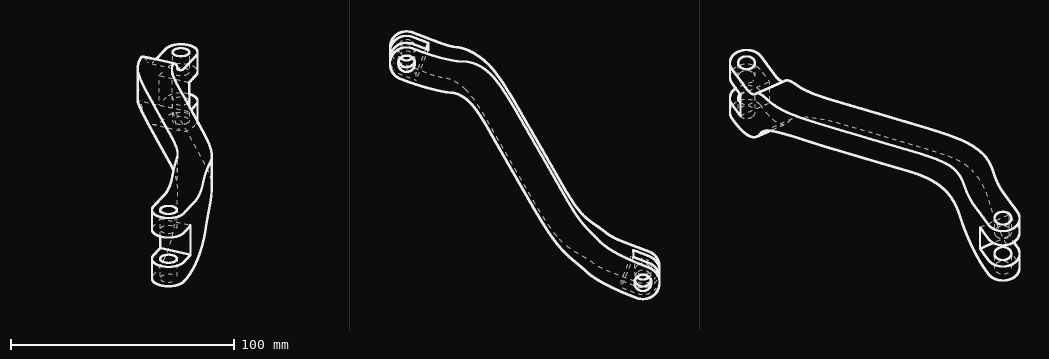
import math

import cadquery as cq

WIDTH_X = 70.0
LENGTH_Y = 150.0
ARM_WIDTH = 15.0
HOLE_DIAMETER = 7.5

TOP_Z = 45.0
EAR_TOP_Z = 35.0
BRIDGE_BOTTOM_Z = 30.0

SLOT_HEIGHT = 15.0
SLOT_DEPTH = 15.0

STRAIGHT_END_Y = 55.0
UPPER_BEND_RADIUS = 10.0
LOWER_BEND_RADIUS = 25.0
BRIDGE_FLAT_HALF_LENGTH = 20.0

FLANK_JOINT = (-4.5, -6.35)
FLANK_JOINT_ANGLE = 50.8
OUTER_BEND_HANDLE = 26.6
OUTER_JOINT_HANDLE = 46.7
INNER_JOINT_HANDLE = 34.8
INNER_BEND_HANDLE = 22.0

HALF_WIDTH = WIDTH_X / 2
END_RADIUS = ARM_WIDTH / 2
EAR_X = HALF_WIDTH - END_RADIUS
HOLE_Y = LENGTH_Y / 2 - END_RADIUS
INNER_X = HALF_WIDTH - ARM_WIDTH
SLOT_BOTTOM_Z = (EAR_TOP_Z - SLOT_HEIGHT) / 2


def bend_angle(rise, radius):
    """Angle turned by each of the two equal arcs of an S-bend."""
    return math.acos(1 - rise / (2 * radius))


def bend_length(rise, radius):
    """Run along Y of an S-bend made of two equal arcs."""
    return 2 * radius * math.sin(bend_angle(rise, radius))


def add_s_bend(sketch, start, end, radius):
    """Draw two equal tangent arcs, level at both ends, from start to end."""
    run = end[0] - start[0]
    rise = end[1] - start[1]
    half_angle = bend_angle(abs(rise), radius) / 2
    arc_run = math.copysign(radius * math.sin(half_angle), run)
    arc_rise = math.copysign(radius * (1 - math.cos(half_angle)), rise)
    middle = (start[0] + run / 2, start[1] + rise / 2)
    first_arc_point = (start[0] + arc_run, start[1] + arc_rise)
    second_arc_point = (end[0] - arc_run, end[1] - arc_rise)
    return sketch.threePointArc(first_arc_point, middle).threePointArc(second_arc_point, end)


def add_flank(sketch, side):
    """Draw one curved flank: side 1 is the -X flank, side -1 its half-turn copy."""

    def place(x, y):
        return (side * x, side * y)

    joint_x, joint_y = FLANK_JOINT
    slope_x = math.cos(math.radians(FLANK_JOINT_ANGLE))
    slope_y = -math.sin(math.radians(FLANK_JOINT_ANGLE))
    outer_curve = [
        place(-HALF_WIDTH, STRAIGHT_END_Y),
        place(-HALF_WIDTH, STRAIGHT_END_Y - OUTER_BEND_HANDLE),
        place(joint_x - OUTER_JOINT_HANDLE * slope_x, joint_y - OUTER_JOINT_HANDLE * slope_y),
        place(joint_x, joint_y),
    ]
    inner_curve = [
        place(joint_x, joint_y),
        place(joint_x + INNER_JOINT_HANDLE * slope_x, joint_y + INNER_JOINT_HANDLE * slope_y),
        place(INNER_X, -STRAIGHT_END_Y + INNER_BEND_HANDLE),
        place(INNER_X, -STRAIGHT_END_Y),
    ]
    return sketch.bezier(outer_curve).bezier(inner_curve)


def make_plan():
    """S-shaped arm seen along Z, with rounded ends, extruded to full height."""
    half_length = LENGTH_Y / 2
    sketch = cq.Workplane("XY").moveTo(-HALF_WIDTH, HOLE_Y).lineTo(-HALF_WIDTH, STRAIGHT_END_Y)
    sketch = add_flank(sketch, 1)
    sketch = sketch.lineTo(INNER_X, -HOLE_Y)
    sketch = sketch.threePointArc((EAR_X, -half_length), (HALF_WIDTH, -HOLE_Y))
    sketch = sketch.lineTo(HALF_WIDTH, -STRAIGHT_END_Y)
    sketch = add_flank(sketch, -1)
    sketch = sketch.lineTo(-INNER_X, HOLE_Y)
    sketch = sketch.threePointArc((-EAR_X, half_length), (-HALF_WIDTH, HOLE_Y))
    return sketch.close().extrude(TOP_Z)


def make_side_profile():
    """Arched bridge seen along X, extruded across the full width."""
    half_length = LENGTH_Y / 2
    top_flat = STRAIGHT_END_Y - bend_length(TOP_Z - EAR_TOP_Z, UPPER_BEND_RADIUS)
    foot_y = BRIDGE_FLAT_HALF_LENGTH + bend_length(BRIDGE_BOTTOM_Z, LOWER_BEND_RADIUS)

    sketch = cq.Workplane("YZ", origin=(-HALF_WIDTH, 0, 0))
    sketch = sketch.moveTo(-half_length, 0).lineTo(-half_length, EAR_TOP_Z)
    sketch = sketch.lineTo(-STRAIGHT_END_Y, EAR_TOP_Z)
    sketch = add_s_bend(sketch, (-STRAIGHT_END_Y, EAR_TOP_Z), (-top_flat, TOP_Z), UPPER_BEND_RADIUS)
    sketch = sketch.lineTo(top_flat, TOP_Z)
    sketch = add_s_bend(sketch, (top_flat, TOP_Z), (STRAIGHT_END_Y, EAR_TOP_Z), UPPER_BEND_RADIUS)
    sketch = sketch.lineTo(half_length, EAR_TOP_Z).lineTo(half_length, 0).lineTo(foot_y, 0)
    bridge_end = (BRIDGE_FLAT_HALF_LENGTH, BRIDGE_BOTTOM_Z)
    sketch = add_s_bend(sketch, (foot_y, 0), bridge_end, LOWER_BEND_RADIUS)
    bridge_start = (-BRIDGE_FLAT_HALF_LENGTH, BRIDGE_BOTTOM_Z)
    sketch = sketch.lineTo(*bridge_start)
    sketch = add_s_bend(sketch, bridge_start, (-foot_y, 0), LOWER_BEND_RADIUS)
    return sketch.close().extrude(WIDTH_X)


def make_slots():
    """Slots that split each end into an upper and a lower ear."""
    slot_y = (LENGTH_Y - SLOT_DEPTH) / 2
    return (
        cq.Workplane("XY", origin=(0, 0, SLOT_BOTTOM_Z))
        .pushPoints([(0, slot_y), (0, -slot_y)])
        .rect(WIDTH_X, SLOT_DEPTH)
        .extrude(SLOT_HEIGHT)
    )


def make_pin_holes():
    """Vertical pin holes through both ears at each end."""
    return (
        cq.Workplane("XY")
        .pushPoints([(-EAR_X, HOLE_Y), (EAR_X, -HOLE_Y)])
        .circle(HOLE_DIAMETER / 2)
        .extrude(EAR_TOP_Z)
    )


arm = make_plan().intersect(make_side_profile())
result = arm.cut(make_slots()).cut(make_pin_holes())